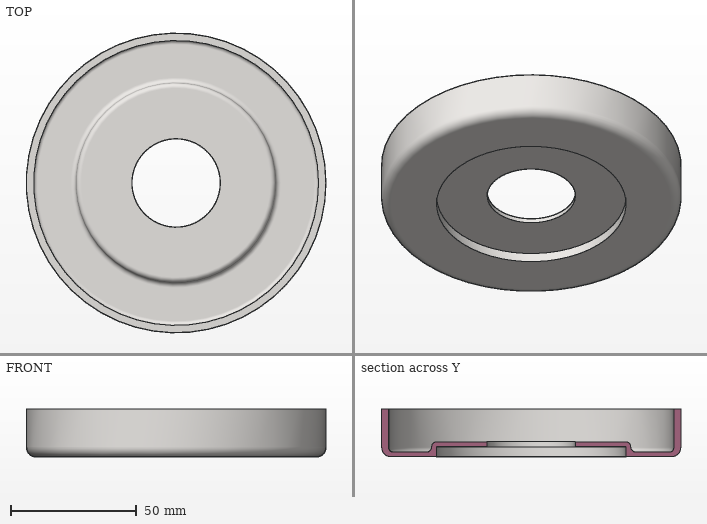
import cadquery as cq

outer_radius = 59.5
height = 19.0
rim_thickness = 3.0
outer_corner_radius = 3.8
inner_corner_radius = 1.5

floor_thickness = 2.0
step_height = 4.0
step_radius = 39.6
step_blend_radius = step_height / 2
hole_radius = 17.5

inner_radius = outer_radius - rim_thickness
plateau_top = floor_thickness + step_height
recess_radius = step_radius - floor_thickness


def make_cup():
    """Open cup with a rounded bottom edge and a rounded inside corner."""
    body = cq.Workplane("XY").circle(outer_radius).extrude(height)
    body = body.faces("<Z").edges().fillet(outer_corner_radius)
    cavity = (
        cq.Workplane("XY")
        .workplane(offset=floor_thickness)
        .circle(inner_radius)
        .extrude(height - floor_thickness)
        .faces("<Z")
        .edges()
        .fillet(inner_corner_radius)
    )
    return body.cut(cavity)


def make_plateau():
    """Raised centre whose edge is an S of two quarter arcs, concave below and convex above."""
    profile = (
        cq.Workplane("XZ")
        .lineTo(step_radius + step_blend_radius, 0)
        .lineTo(step_radius + step_blend_radius, floor_thickness)
        .radiusArc((step_radius, floor_thickness + step_blend_radius), step_blend_radius)
        .radiusArc((step_radius - step_blend_radius, plateau_top), -step_blend_radius)
        .lineTo(0, plateau_top)
        .close()
    )
    return profile.revolve(360, (0, 0, 0), (0, 1, 0))


recess = cq.Workplane("XY").circle(recess_radius).extrude(step_height)
hole = cq.Workplane("XY").circle(hole_radius).extrude(height)

result = make_cup().union(make_plateau()).cut(recess).cut(hole)